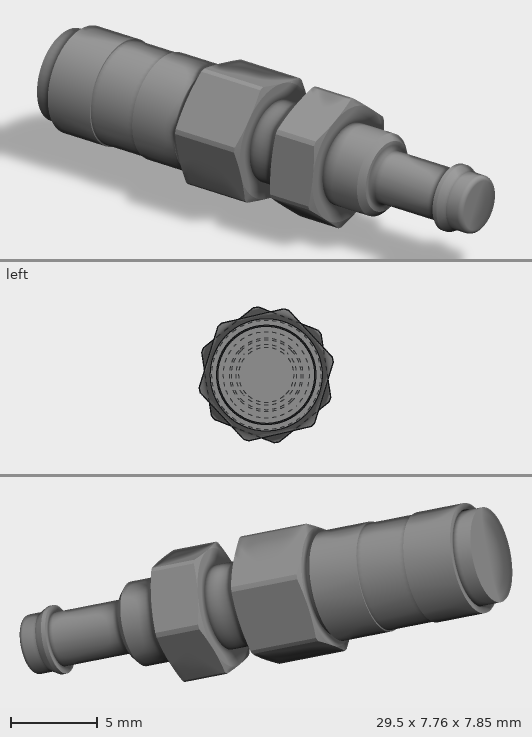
import cadquery as cq
import math

overall_length = 29.5

sleeve_start = 1.1
sleeve_section = 3.0
sleeve_band_start = sleeve_start + sleeve_section
sleeve_band_end = sleeve_band_start + sleeve_section
sleeve_end = sleeve_band_end + sleeve_section
sleeve_diameter = 6.5
sleeve_band_diameter = 6.3
sleeve_bore = 5.75

nose_diameter = 5.6
collar_diameter = sleeve_bore
body_diameter = 5.0
body_end = 22.6
shoulder = 22.95
shoulder_diameter = 4.25
hose_tail_diameter = 3.2
hose_tail_fillet = 0.27

barb_start = 27.65
barb_rim_end = 27.9
barb_cone_start = 28.0
barb_cone_end = 28.4
barb_rim_diameter = 4.05
barb_cone_diameter = 3.95
tip_diameter = 3.5
tip_fillet = 0.27

hex_across_flats = 7.0
hex_across_corners = hex_across_flats / math.cos(math.radians(30))
hex_blank_diameter = 7.9
hex_chamfer_angle = 15.0
large_hex_start = 10.5
large_hex_length = 4.45
large_hex_corner_angle = 47.0
small_hex_start = 17.17
small_hex_length = 2.98
small_hex_corner_angle = 21.3


def cylinder(start, end, diameter):
    """Solid round bar along X between two stations."""
    return cq.Workplane("YZ", origin=(start, 0, 0)).circle(diameter / 2).extrude(end - start)


def wrench_hex(start, length, corner_angle):
    """Hexagon with turned-down corners and chamfered ends; corner_angle turns one corner from +Y to +Z."""
    blank_radius = hex_blank_diameter / 2
    face_radius = hex_across_flats / 2
    chamfer_length = (blank_radius - face_radius) * math.tan(math.radians(hex_chamfer_angle))
    blank = (
        cq.Workplane("XY")
        .moveTo(start, 0)
        .lineTo(start, face_radius)
        .lineTo(start + chamfer_length, blank_radius)
        .lineTo(start + length - chamfer_length, blank_radius)
        .lineTo(start + length, face_radius)
        .lineTo(start + length, 0)
        .close()
        .revolve(360, (0, 0, 0), (1, 0, 0))
    )
    prism = (
        cq.Workplane("YZ", origin=(start, 0, 0))
        .polygon(6, hex_across_corners)
        .extrude(length)
        .rotate((0, 0, 0), (1, 0, 0), corner_angle)
    )
    return prism.intersect(blank)


def make_sleeve():
    """Ring with a plain bore and a shallow band around its middle third."""
    return (
        cylinder(sleeve_start, sleeve_band_start, sleeve_diameter)
        .union(cylinder(sleeve_band_start, sleeve_band_end, sleeve_band_diameter))
        .union(cylinder(sleeve_band_end, sleeve_end, sleeve_diameter))
        .cut(cylinder(sleeve_start, sleeve_end, sleeve_bore))
    )


def make_turned_stem():
    """Nose, collar, body, hose tail and barb as one turned profile."""
    nose_radius = nose_diameter / 2
    collar_radius = collar_diameter / 2
    body_radius = body_diameter / 2
    tail_radius = hose_tail_diameter / 2
    tip_radius = tip_diameter / 2
    rounding = 1 - math.sqrt(0.5)
    tail_fillet_middle = rounding * hose_tail_fillet
    tip_fillet_middle = rounding * tip_fillet
    return (
        cq.Workplane("XY")
        .moveTo(0, 0)
        .lineTo(0, nose_radius)
        .lineTo(sleeve_band_end, nose_radius)
        .lineTo(sleeve_band_end, collar_radius)
        .lineTo(large_hex_start, collar_radius)
        .lineTo(large_hex_start, body_radius)
        .lineTo(body_end, body_radius)
        .lineTo(shoulder, shoulder_diameter / 2)
        .lineTo(shoulder, tail_radius + hose_tail_fillet)
        .threePointArc(
            (shoulder + tail_fillet_middle, tail_radius + tail_fillet_middle),
            (shoulder + hose_tail_fillet, tail_radius),
        )
        .lineTo(barb_start, tail_radius)
        .lineTo(barb_start, barb_rim_diameter / 2)
        .lineTo(barb_rim_end, barb_rim_diameter / 2)
        .lineTo(barb_cone_start, barb_cone_diameter / 2)
        .lineTo(barb_cone_end, tip_radius)
        .lineTo(overall_length - tip_fillet, tip_radius)
        .threePointArc(
            (overall_length - tip_fillet_middle, tip_radius - tip_fillet_middle),
            (overall_length, tip_radius - tip_fillet),
        )
        .lineTo(overall_length, 0)
        .close()
        .revolve(360, (0, 0, 0), (1, 0, 0))
    )


def make_stem():
    """Turned stem with both wrench hexagons."""
    large_hex = wrench_hex(large_hex_start, large_hex_length, large_hex_corner_angle)
    small_hex = wrench_hex(small_hex_start, small_hex_length, small_hex_corner_angle)
    return make_turned_stem().union(large_hex).union(small_hex)


sleeve = make_sleeve()
stem = make_stem()

result = cq.Compound.makeCompound([sleeve.val(), stem.val()])